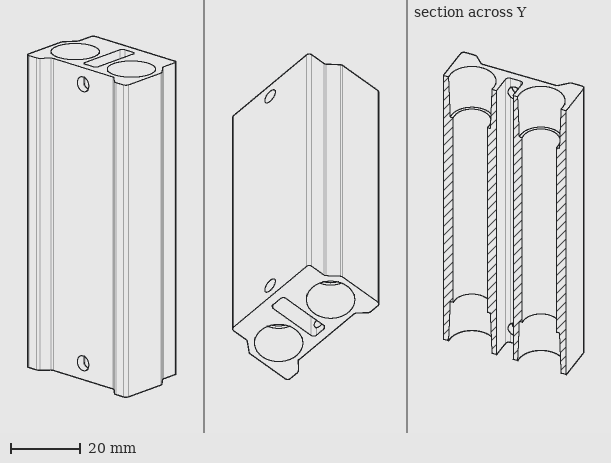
import cadquery as cq

width = 39.0
depth = 25.0
height = 95.0

back_width = 32.9
shoulder_low = 15.1
shoulder_high = 18.8
channel_mouth_width = 29.9
channel_depth = 2.9
corner_radius = 1.0
mouth_radius = 1.4

bore_spacing = 21.9
bore_center = 11.5
bore_diameter = 11.0
port_diameter = 13.9
port_root_diameter = 12.8
port_length = 14.25

slot_width = 5.2
slot_front = 5.5
slot_length = 16.8
slot_corner_radius = 1.0

mount_diameter = 4.5
mount_inset = 5.0


def round_edges(solid, x, y, radius):
    """Fillet the mirrored pair of vertical edges at (x, y) and (-x, y)."""
    for side in (-1, 1):
        edge = cq.selectors.NearestToPointSelector((side * x, y, height / 2))
        solid = solid.edges("|Z").edges(edge).fillet(radius)
    return solid


def make_body():
    """Extrude the shouldered outline with its bevelled channel in the front."""
    half_width = width / 2
    half_back = back_width / 2
    half_mouth = channel_mouth_width / 2
    half_floor = half_mouth - channel_depth
    right_side = [
        (half_floor, channel_depth),
        (half_mouth, 0),
        (half_width, 0),
        (half_width, shoulder_low),
        (half_back, shoulder_high),
        (half_back, depth),
    ]
    left_side = [(-x, y) for x, y in reversed(right_side)]
    body = cq.Workplane("XY").polyline(right_side + left_side).close().extrude(height)
    body = round_edges(body, half_width, 0, corner_radius)
    body = round_edges(body, half_back, depth, corner_radius)
    body = round_edges(body, half_mouth, 0, mouth_radius)
    body = round_edges(body, half_floor, channel_depth, corner_radius)
    body = round_edges(body, half_width, shoulder_low, corner_radius)
    return round_edges(body, half_back, shoulder_high, corner_radius)


def make_bore(x):
    """Through bore with a port at each end that narrows towards the middle."""
    half_profile = [
        (0, 0),
        (port_diameter / 2, 0),
        (port_root_diameter / 2, port_length),
        (bore_diameter / 2, port_length),
        (bore_diameter / 2, height - port_length),
        (port_root_diameter / 2, height - port_length),
        (port_diameter / 2, height),
        (0, height),
    ]
    bore = cq.Workplane("XZ").polyline(half_profile).close().revolve(360, (0, 0), (0, 1))
    return bore.translate((x, bore_center, 0))


def make_slot():
    """Rectangular passage with rounded corners along the full height."""
    slot = cq.Workplane("XY").box(slot_width, slot_length, height, centered=(True, False, False))
    return slot.edges("|Z").fillet(slot_corner_radius).translate((0, slot_front, 0))


def make_mount_hole(z):
    """Round hole from front to back."""
    return cq.Workplane("XZ").center(0, z).circle(mount_diameter / 2).extrude(-depth)


result = make_body().cut(make_slot())
for bore_x in (-bore_spacing / 2, bore_spacing / 2):
    result = result.cut(make_bore(bore_x))
for mount_z in (mount_inset, height - mount_inset):
    result = result.cut(make_mount_hole(mount_z))